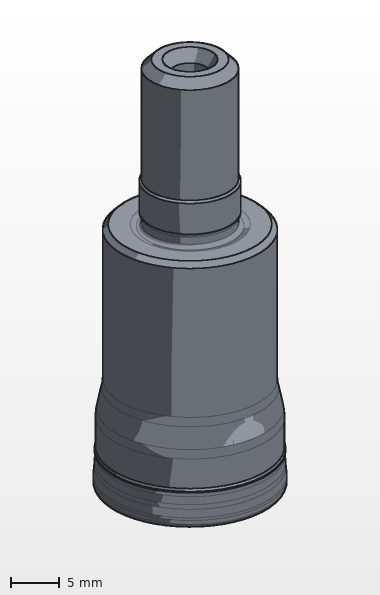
import cadquery as cq
import math

total_height = 49.0

pin_radius = 10.0 / 2
pin_chamfer = 1.05
collar_radius = 10.5 / 2
collar_bottom = 31.5
collar_top = 35.05
collar_bevel_height = 0.25
collar_fillet_height = 0.45

hole_radius = 4.0 / 2
hole_mouth_radius = 2.85
hole_depth = 7.85
countersink_half_angle = 30.0
drill_tip_half_angle = 59.0

barrel_radius = 18.0 / 2
barrel_top = 30.05
barrel_chamfer = 0.6
relief_outer_radius = 6.18
relief_inner_radius = 5.55
relief_depth = 0.17
root_fillet_height = 0.4

skirt_radius = 19.45 / 2
shoulder_top = 12.35
shoulder_bottom = 7.95
shoulder_blend = 0.515

head_top = 4.5
lip_edge = 4.2
lip_bottom = 4.05
lip_radius = 9.85
taper_points = [(9.75, lip_bottom), (9.785, 3.65), (9.83, 2.75), (9.865, 2.2), (9.96, 1.25)]
foot_radius = 19.95 / 2
foot_band_top = 1.0
foot_rounding = 0.55


def revolve(profile):
    """Turn a closed (radius, height) profile about the Z axis."""
    return profile.close().revolve(360, (0, 0, 0), (0, 1, 0))


def make_centre_hole():
    """Countersunk blind hole with a conical drill tip."""
    countersink_depth = (hole_mouth_radius - hole_radius) / math.tan(math.radians(countersink_half_angle))
    tip_depth = hole_radius / math.tan(math.radians(drill_tip_half_angle))
    hole_bottom = total_height - hole_depth
    return revolve(
        cq.Workplane("XZ")
        .moveTo(0, total_height)
        .lineTo(hole_mouth_radius, total_height)
        .lineTo(hole_radius, total_height - countersink_depth)
        .lineTo(hole_radius, hole_bottom)
        .lineTo(0, hole_bottom - tip_depth)
    )


def make_shank():
    """Collared pin, barrel, shoulder and skirt, profiled from the free end down."""
    upper_corner_z = shoulder_top - shoulder_blend
    lower_corner_z = shoulder_bottom + shoulder_blend
    cone_angle = math.atan2(skirt_radius - barrel_radius, upper_corner_z - lower_corner_z)
    blend_out = shoulder_blend * math.sin(cone_angle)
    blend_down = shoulder_blend * math.cos(cone_angle)

    relief_bottom = barrel_top - relief_depth

    collar_step = collar_radius - pin_radius
    collar_fillet_radius = (collar_step**2 + collar_fillet_height**2) / (2 * collar_step)
    half_sweep = math.asin(collar_fillet_height / collar_fillet_radius) / 2
    fillet_bottom = collar_bottom - collar_fillet_height
    fillet_middle = (
        pin_radius + collar_fillet_radius * (1 - math.cos(half_sweep)),
        fillet_bottom + collar_fillet_radius * math.sin(half_sweep),
    )

    body = revolve(
        cq.Workplane("XZ")
        .moveTo(0, total_height)
        .lineTo(pin_radius - pin_chamfer, total_height)
        .lineTo(pin_radius, total_height - pin_chamfer)
        .lineTo(pin_radius, collar_top + collar_bevel_height)
        .lineTo(collar_radius, collar_top)
        .lineTo(collar_radius, collar_bottom)
        .threePointArc(fillet_middle, (pin_radius, fillet_bottom))
        .lineTo(pin_radius, relief_bottom + root_fillet_height)
        .tangentArcPoint((relief_inner_radius, relief_bottom), relative=False)
        .lineTo(relief_outer_radius, barrel_top)
        .lineTo(barrel_radius - barrel_chamfer, barrel_top)
        .lineTo(barrel_radius, barrel_top - barrel_chamfer)
        .lineTo(barrel_radius, shoulder_top)
        .tangentArcPoint((barrel_radius + blend_out, upper_corner_z - blend_down), relative=False)
        .lineTo(skirt_radius - blend_out, lower_corner_z + blend_down)
        .tangentArcPoint((skirt_radius, shoulder_bottom), relative=False)
        .lineTo(skirt_radius, head_top)
        .lineTo(0, head_top)
    )
    return body.cut(make_centre_hole())


def make_head():
    """Lipped, slightly flared disc under the flat end of the skirt."""
    profile = (
        cq.Workplane("XZ")
        .moveTo(0, head_top)
        .lineTo(skirt_radius, head_top)
        .lineTo(lip_radius, lip_edge)
        .lineTo(lip_radius, lip_bottom)
    )
    for radius, height in taper_points:
        profile = profile.lineTo(radius, height)
    profile = (
        profile.lineTo(foot_radius, foot_band_top)
        .lineTo(foot_radius, foot_rounding)
        .tangentArcPoint((foot_radius - foot_rounding, 0), relative=False)
        .lineTo(0, 0)
    )
    return revolve(profile)


shank = make_shank()
head = make_head()
result = cq.Compound.makeCompound([shank.val(), head.val()])